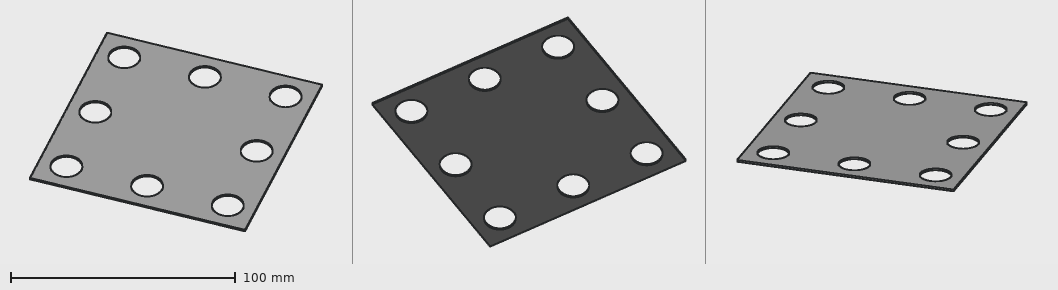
import cadquery as cq

plate_side = 101.6
plate_thickness = 1.0

hole_diameter = 14.2
hole_pitch = 38.1

grid_steps = (-1, 0, 1)
hole_centers = [
    (column * hole_pitch, row * hole_pitch)
    for column in grid_steps
    for row in grid_steps
    if (column, row) != (0, 0)
]

plate = cq.Workplane("XY").box(plate_side, plate_side, plate_thickness)

result = plate.faces(">Z").workplane().pushPoints(hole_centers).hole(hole_diameter)